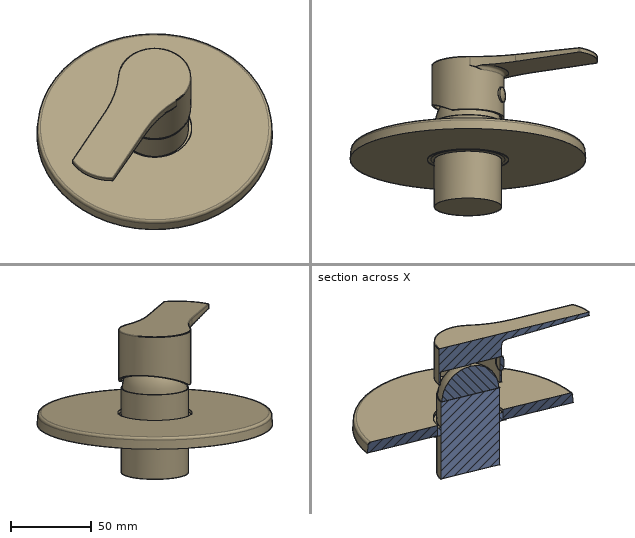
import cadquery as cq
import math


sleeve_radius = 42.0 / 2
sleeve_top = 53.9
dome_radius = 41.0 / 2
dome_center_z = sleeve_top - 0.6

plate_bottom_radius = 146.8 / 2
plate_shoulder_radius = plate_bottom_radius - 0.5
plate_face_radius = 71.1
plate_bottom = 30.7
plate_top = 38.1
plate_round_height = 1.7
plate_hole_radius = 46.2 / 2

gasket_flange_radius = 25.3
gasket_flange_thickness = 0.4
gasket_recess = 1.9

head_radius = 45.0 / 2
head_bottom = 57.2
head_top = 91.2
head_back_bottom = 66.4
slant_start_y = 1.7
head_bore_radius = sleeve_radius
head_bore_top = dome_center_z + dome_radius + 0.8

lever_half_width = 14.4
neck_end_y = -37.5
lever_corner_y = -80.6
lever_tip_y = plate_bottom_radius - 158.0
lever_root_z = 85.4
lever_tip_z = 88.5
lever_corner_round = 0.6
top_edge_round = 0.4
root_fillet = 2.8
root_half_width = 16.5

neck_radius = (lever_half_width**2 + neck_end_y**2 - head_radius**2) / (2 * (head_radius - lever_half_width))
neck_angle = math.asin(-neck_end_y / (head_radius + neck_radius))
neck_start_x = head_radius * math.cos(neck_angle)
neck_start_y = -head_radius * math.sin(neck_angle)

underside_slope = (lever_tip_z - lever_root_z) / (lever_tip_y - neck_start_y)

cover_radius = 4.7
cover_z = 70.2
cover_rim_y = -head_radius - 0.8
cover_tip_y = -head_radius - 1.7


def make_sleeve():
    return cq.Workplane("XY").circle(sleeve_radius).extrude(sleeve_top)


def make_dome():
    """Ball cap standing on the sleeve, cut flat just above its centre."""
    ball = cq.Workplane("XY").sphere(dome_radius).translate((0, 0, dome_center_z))
    keep = cq.Workplane("XY").workplane(offset=sleeve_top).circle(dome_radius).extrude(dome_radius)
    return ball.intersect(keep)


def make_plate():
    """Round plate with a slightly tapered side and a rounded upper rim."""
    round_start_z = plate_top - plate_round_height
    rim_width = plate_shoulder_radius - plate_face_radius
    rim_middle = (
        plate_face_radius + rim_width * math.sin(math.pi / 4),
        round_start_z + plate_round_height * math.sin(math.pi / 4),
    )
    return (
        cq.Workplane("XZ")
        .moveTo(plate_hole_radius, plate_bottom)
        .lineTo(plate_bottom_radius, plate_bottom)
        .lineTo(plate_shoulder_radius, round_start_z)
        .threePointArc(rim_middle, (plate_face_radius, plate_top))
        .lineTo(plate_hole_radius, plate_top)
        .close()
        .revolve(360, (0, 0), (0, 1))
    )


def make_gasket():
    """Flange under the plate with a collar filling the gap around the sleeve."""
    flange_bottom = plate_bottom - gasket_flange_thickness
    collar_top = plate_top - gasket_recess
    base = cq.Workplane("XY").workplane(offset=flange_bottom)
    flange = base.circle(gasket_flange_radius).circle(sleeve_radius).extrude(gasket_flange_thickness)
    collar = base.circle(plate_hole_radius).circle(sleeve_radius).extrude(collar_top - flange_bottom)
    return flange.union(collar)


def lever_prism():
    """Upright prism: head circle, concave necks, straight sides and a bowed tip."""
    middle_angle = neck_angle / 2
    neck_middle_x = lever_half_width + neck_radius * (1 - math.cos(middle_angle))
    neck_middle_y = neck_end_y + neck_radius * math.sin(middle_angle)
    return (
        cq.Workplane("XY")
        .workplane(offset=head_bottom)
        .moveTo(neck_start_x, neck_start_y)
        .threePointArc((0, head_radius), (-neck_start_x, neck_start_y))
        .threePointArc((-neck_middle_x, neck_middle_y), (-lever_half_width, neck_end_y))
        .lineTo(-lever_half_width, lever_corner_y)
        .threePointArc((0, lever_tip_y), (lever_half_width, lever_corner_y))
        .lineTo(lever_half_width, neck_end_y)
        .threePointArc((neck_middle_x, neck_middle_y), (neck_start_x, neck_start_y))
        .close()
        .extrude(head_top - head_bottom)
    )


def make_lever():
    """Lever whose underside rises toward the tip."""
    center_z = lever_root_z - underside_slope * neck_start_y
    side = (
        cq.Workplane("YZ")
        .polyline([(lever_tip_y, lever_tip_z), (0, center_z), (0, head_top), (lever_tip_y, head_top)])
        .close()
        .extrude(head_radius, both=True)
    )
    tip_corners = cq.selectors.BoxSelector(
        (-head_radius, lever_corner_y - 0.2, head_bottom),
        (head_radius, lever_corner_y + 0.2, head_top),
    )
    rounded_prism = lever_prism().edges("|Z").edges(tip_corners).fillet(lever_corner_round)
    return rounded_prism.intersect(side)


def make_root_fillet():
    """Concave ring around the head under the lever, trimmed to the lever outline."""
    ring_top = lever_root_z + underside_slope * (-head_radius - neck_start_y)
    ring_bottom = ring_top - root_fillet
    inner_radius = head_radius - 0.8
    outer_radius = head_radius + root_fillet
    arc_reach = root_fillet * (1 - math.sin(math.pi / 4))
    ring = (
        cq.Workplane("XZ")
        .moveTo(inner_radius, ring_bottom)
        .lineTo(head_radius, ring_bottom)
        .threePointArc((head_radius + arc_reach, ring_top - arc_reach), (outer_radius, ring_top))
        .lineTo(outer_radius, ring_top + root_fillet / 2)
        .lineTo(inner_radius, ring_top + root_fillet / 2)
        .close()
        .revolve(360, (0, 0), (0, 1))
    )
    tapered_sides = (
        cq.Workplane("XZ")
        .polyline(
            [
                (-root_half_width, ring_bottom),
                (root_half_width, ring_bottom),
                (neck_start_x, lever_root_z),
                (neck_start_x, head_top),
                (-neck_start_x, head_top),
                (-neck_start_x, lever_root_z),
            ]
        )
        .close()
        .extrude(outer_radius)
    )
    return ring.intersect(lever_prism()).intersect(tapered_sides)


def make_handle():
    """Hollow head with a slanted back, carrying the lever and the cover hole."""
    head = (
        cq.Workplane("XY").workplane(offset=head_bottom).circle(head_radius).extrude(head_top - head_bottom)
    )
    handle = head.union(make_lever()).union(make_root_fillet())
    handle = handle.faces(">Z").edges().fillet(top_edge_round)
    back_cut = (
        cq.Workplane("YZ")
        .polyline([(slant_start_y, head_bottom), (head_radius, head_back_bottom), (head_radius, head_bottom)])
        .close()
        .extrude(head_radius, both=True)
    )
    bore = (
        cq.Workplane("XY")
        .workplane(offset=head_bottom)
        .circle(head_bore_radius)
        .extrude(head_bore_top - head_bottom)
    )
    cover_hole = cq.Workplane("XZ").center(0, cover_z).circle(cover_radius).extrude(head_radius)
    return handle.cut(back_cut).cut(bore).cut(cover_hole)


def make_cover():
    """Domed plug filling the hole through the front wall of the head."""
    dome_height = cover_rim_y - cover_tip_y
    dome_sphere_radius = (cover_radius**2 + dome_height**2) / (2 * dome_height)
    half_angle = math.asin(cover_radius / dome_sphere_radius) / 2
    dome_middle = (
        dome_sphere_radius * math.sin(half_angle),
        cover_tip_y + dome_sphere_radius * (1 - math.cos(half_angle)),
    )
    return (
        cq.Workplane("XY")
        .moveTo(0, -head_bore_radius)
        .lineTo(cover_radius, -head_bore_radius)
        .lineTo(cover_radius, cover_rim_y)
        .threePointArc(dome_middle, (0, cover_tip_y))
        .close()
        .revolve(360, (0, 0), (0, 1))
        .translate((0, 0, cover_z))
    )


sleeve = make_sleeve()
dome = make_dome()
plate = make_plate()
gasket = make_gasket()
handle = make_handle()
cover = make_cover()

result = cq.Compound.makeCompound(
    [sleeve.val(), dome.val(), plate.val(), gasket.val(), handle.val(), cover.val()]
)